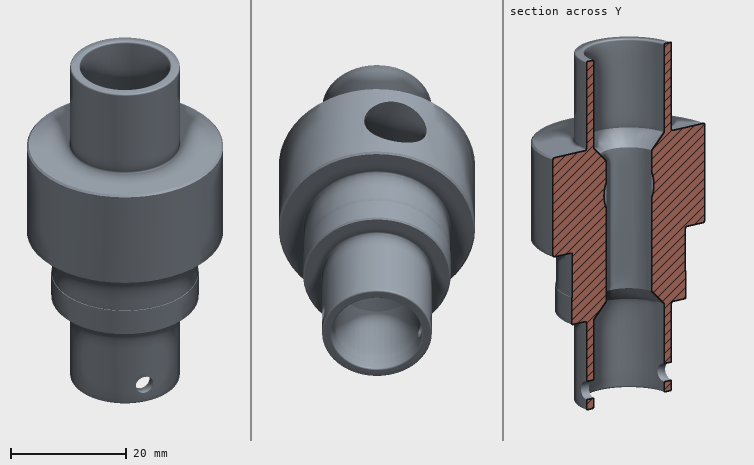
import cadquery as cq

total_height = 63.0
stub_length = 16.0
band_height = 5.0
neck_height = 8.0
band_bottom = stub_length
neck_bottom = band_bottom + band_height
collar_bottom = neck_bottom + neck_height
collar_top = total_height - stub_length

stub_radius = 9.5
band_radius = 12.8
neck_radius = 12.65
collar_radius = 17.0

collar_chamfer = 0.3
band_chamfer = 0.25
rim_fillet = 0.3
root_fillet = 0.3

socket_radius = 7.8
socket_depth = stub_length
narrow_bore_radius = 5.05
cone_length = socket_radius - narrow_bore_radius

port_diameter = 11.0
port_height = (collar_bottom + collar_top) / 2
pin_hole_diameter = 3.2
pin_hole_height = 3.5


def disc(radius, bottom, top):
    """Solid cylinder on the Z axis between two heights."""
    return cq.Workplane("XY").workplane(offset=bottom).circle(radius).extrude(top - bottom)


def root_ring(radius, shoulder, side):
    """Fillet ring at a shoulder, growing upward (side = 1) or downward (side = -1)."""
    ring = (
        cq.Workplane("XZ")
        .moveTo(radius - root_fillet, shoulder)
        .lineTo(radius + root_fillet, shoulder)
        .radiusArc((radius, shoulder + side * root_fillet), side * root_fillet)
        .lineTo(radius - root_fillet, shoulder + side * root_fillet)
        .close()
    )
    return ring.revolve(360, (0, 0, 0), (0, 1, 0))


def turned_body():
    """Solid stepped shaft with broken edges and filleted roots."""
    lower_stub = disc(stub_radius, 0, band_bottom)
    band = disc(band_radius, band_bottom, neck_bottom).faces("<Z").chamfer(band_chamfer)
    neck = disc(neck_radius, neck_bottom, collar_bottom)
    collar = disc(collar_radius, collar_bottom, collar_top).edges().chamfer(collar_chamfer)
    upper_stub = disc(stub_radius, collar_top, total_height)
    body = lower_stub.union(band).union(neck).union(collar).union(upper_stub)
    body = body.union(root_ring(stub_radius, collar_top, 1))
    body = body.union(root_ring(stub_radius, band_bottom, -1))
    return body.union(root_ring(neck_radius, collar_bottom, -1))


def stepped_bore():
    """Cutter for the through bore with a socket and a cone at each end."""
    profile = [
        (0, 0),
        (socket_radius, 0),
        (socket_radius, socket_depth),
        (narrow_bore_radius, socket_depth + cone_length),
        (narrow_bore_radius, total_height - socket_depth - cone_length),
        (socket_radius, total_height - socket_depth),
        (socket_radius, total_height),
        (0, total_height),
    ]
    return cq.Workplane("XZ").polyline(profile).close().revolve(360, (0, 0, 0), (0, 1, 0))


def collar_port():
    """Radial hole from the +Y side of the collar into the bore."""
    start = cq.Workplane("XZ", origin=(0, 0, port_height))
    return start.circle(port_diameter / 2).extrude(-collar_radius)


def pin_hole():
    """Cross hole along X through both walls of the lower stub."""
    start = cq.Workplane("YZ", origin=(0, 0, pin_hole_height))
    return start.circle(pin_hole_diameter / 2).extrude(stub_radius, both=True)


bored_body = turned_body().cut(stepped_bore())
rounded_body = bored_body.faces("<Z or >Z").edges().fillet(rim_fillet)
result = rounded_body.cut(collar_port()).cut(pin_hole())